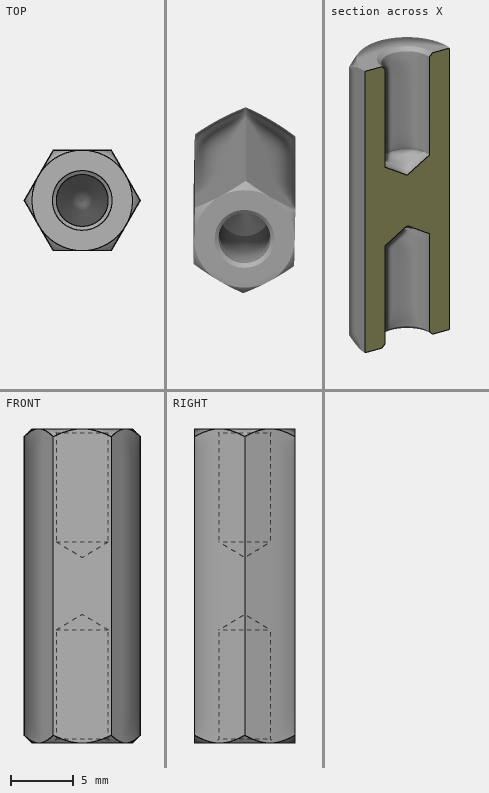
import cadquery as cq
import math

across_flats = 8.0
length = 25.0
across_corners = across_flats / math.cos(math.radians(30))

corner_chamfer_angle = 45.0
corner_chamfer_width = (across_corners - across_flats) / 2
corner_chamfer_height = corner_chamfer_width * math.tan(math.radians(corner_chamfer_angle))

hole_diameter = 4.13
hole_depth = 9.0
drill_point_angle = 118.0
mouth_diameter = 4.75
mouth_chamfer = (mouth_diameter - hole_diameter) / 2


def chamfered_hex_body():
    hexagon = cq.Workplane("XY").polygon(6, across_corners).extrude(length)
    envelope = (
        cq.Workplane("XZ")
        .moveTo(0, 0)
        .lineTo(across_flats / 2, 0)
        .lineTo(across_corners / 2, corner_chamfer_height)
        .lineTo(across_corners / 2, length - corner_chamfer_height)
        .lineTo(across_flats / 2, length)
        .lineTo(0, length)
        .close()
        .revolve(360, (0, 0), (0, 1))
    )
    return hexagon.intersect(envelope)


def top_hole():
    """Drilled hole with a conical bottom and a 45 degree chamfered mouth."""
    hole_radius = hole_diameter / 2
    shoulder_z = length - hole_depth
    tip_z = shoulder_z - hole_radius / math.tan(math.radians(drill_point_angle / 2))
    return (
        cq.Workplane("XZ")
        .moveTo(0, tip_z)
        .lineTo(hole_radius, shoulder_z)
        .lineTo(hole_radius, length - mouth_chamfer)
        .lineTo(mouth_diameter / 2, length)
        .lineTo(0, length)
        .close()
        .revolve(360, (0, 0), (0, 1))
    )


upper_hole = top_hole()
lower_hole = upper_hole.mirror("XY", (0, 0, length / 2))

result = chamfered_hex_body().cut(upper_hole).cut(lower_hole)